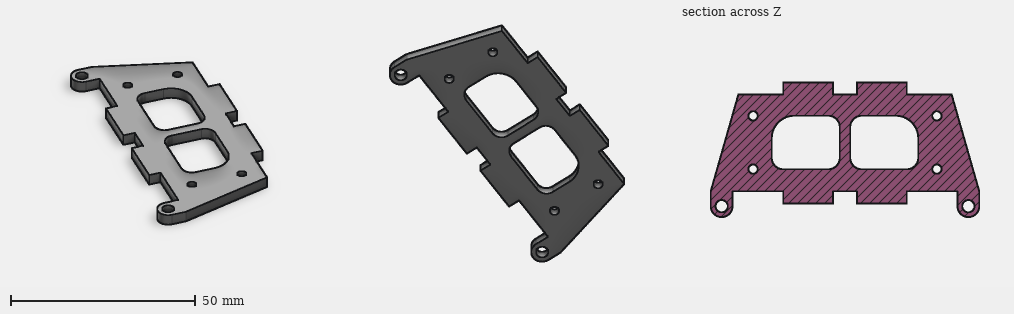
import cadquery as cq

overall_width = 73.0
thickness = 3.2
plate_depth = 26.35
top_edge_width = 57.95

tab_width = 13.6
tab_gap = 6.4
tab_length = 3.3
tab_center_x = (tab_gap + tab_width) / 2

lug_radius = 3.0
lug_drop = 4.0
lug_hole_diameter = 3.3
lug_center_x = overall_width / 2 - lug_radius

screw_hole_diameter = 2.5
screw_spacing_x = 49.9
screw_spacing_y = 14.45
screw_center_y = 13.3

window_width = 18.4
window_depth = 14.45
bar_width = 2.9
window_center_y = screw_center_y
window_corner_radius = 3.0
window_large_radius = 6.0


def box_at(center_x, center_y, width, depth):
    """Full-thickness block centred on the given point."""
    return cq.Workplane("XY").center(center_x, center_y).rect(width, depth).extrude(thickness)


def window(side):
    """Rounded opening; its upper outer corner has the larger radius."""
    center_x = side * (bar_width + window_width) / 2
    opening = box_at(center_x, window_center_y, window_width, window_depth)
    outer = ">X" if side > 0 else "<X"
    inner = "<X" if side > 0 else ">X"
    opening = opening.edges("|Z").edges(f"({inner}) or (<Y)").fillet(window_corner_radius)
    return opening.edges("|Z").edges(f"({outer}) and (>Y)").fillet(window_large_radius)


def holes(points, diameter):
    """Through holes at the given points."""
    return cq.Workplane("XY").pushPoints(points).circle(diameter / 2).extrude(thickness)


result = (
    cq.Workplane("XY")
    .moveTo(-overall_width / 2, 0)
    .lineTo(overall_width / 2, 0)
    .lineTo(top_edge_width / 2, plate_depth)
    .lineTo(-top_edge_width / 2, plate_depth)
    .close()
    .extrude(thickness)
)

for side in (-1, 1):
    result = result.union(
        box_at(side * tab_center_x, plate_depth / 2, tab_width, plate_depth + 2 * tab_length)
    )

lug_points = [(side * lug_center_x, -lug_drop) for side in (-1, 1)]
for lug_x, lug_y in lug_points:
    shank = box_at(lug_x, lug_y / 2, 2 * lug_radius, lug_drop)
    result = result.union(shank)
result = result.union(holes(lug_points, 2 * lug_radius))

for side in (-1, 1):
    result = result.cut(window(side))
screw_points = [
    (side_x * screw_spacing_x / 2, screw_center_y + side_y * screw_spacing_y / 2)
    for side_x in (-1, 1)
    for side_y in (-1, 1)
]
result = result.cut(holes(lug_points, lug_hole_diameter))
result = result.cut(holes(screw_points, screw_hole_diameter))